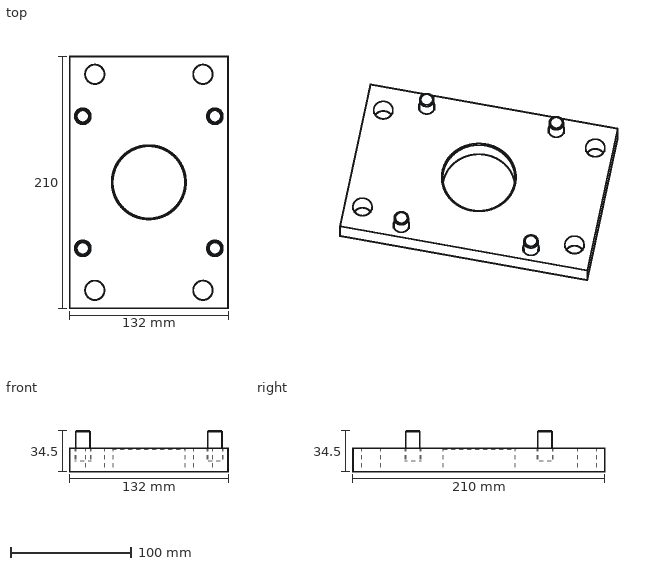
import cadquery as cq

plate_width = 132.0
plate_length = 210.0
plate_thickness = 20.0

bore_diameter = 60.0
bore_chamfer = 1.0

mounting_hole_diameter = 16.0
mounting_spacing_x = 90.0
mounting_spacing_y = 180.0

pin_diameter = 12.0
pin_projection = 14.5
pin_chamfer = 1.0
pin_spacing = 110.0
pin_hole_diameter = 13.5
pin_hole_depth = 10.5


def rectangle_corners(spacing_x, spacing_y):
    """Corners of a rectangle centred on the origin."""
    return [(sx * spacing_x / 2, sy * spacing_y / 2) for sx in (-1, 1) for sy in (-1, 1)]


mounting_places = rectangle_corners(mounting_spacing_x, mounting_spacing_y)
pin_places = rectangle_corners(pin_spacing, pin_spacing)


def make_plate():
    blank = cq.Workplane("XY").rect(plate_width, plate_length).extrude(plate_thickness)
    bored = blank.faces(">Z").workplane().hole(bore_diameter)
    bored = bored.faces(">Z").edges("%CIRCLE").chamfer(bore_chamfer)
    top = bored.faces(">Z").workplane(origin=(0, 0, plate_thickness))
    drilled = top.pushPoints(mounting_places).hole(mounting_hole_diameter)
    top = drilled.faces(">Z").workplane(origin=(0, 0, plate_thickness))
    return top.pushPoints(pin_places).hole(pin_hole_diameter, pin_hole_depth)


def make_pin(x, y):
    pin_length = pin_hole_depth + pin_projection
    floor = cq.Workplane("XY", origin=(x, y, plate_thickness - pin_hole_depth))
    pin = floor.circle(pin_diameter / 2).extrude(pin_length)
    return pin.faces(">Z").edges().chamfer(pin_chamfer)


plate = make_plate()
pins = [make_pin(x, y) for x, y in pin_places]

result = cq.Compound.makeCompound([plate.val(), *[pin.val() for pin in pins]])